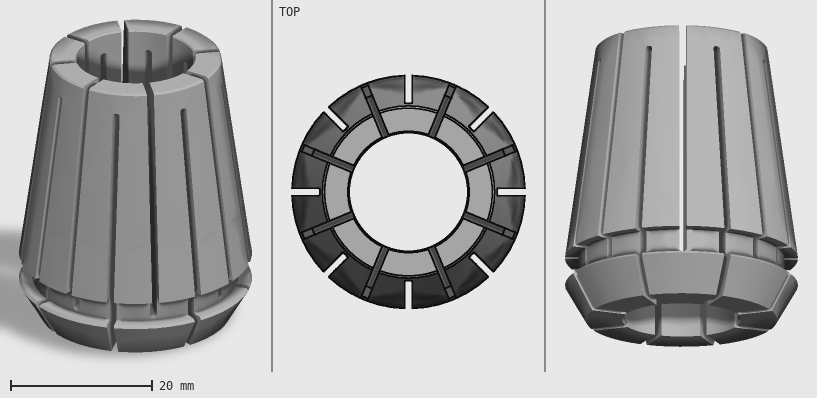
import cadquery as cq
import math

total_height = 40.0
max_diameter = 33.0
bore_radius = 8.4
bore_chamfer = 0.2

taper_angle = 8.0
taper_base_z = 9.1
top_chamfer = 0.3

groove_radius = 14.6
nose_top_z = 5.5
nose_bevel = 0.35
nose_angle = 30.0

slots_per_end = 8
slot_width = 1.0
slot_corner_radius = 0.4
lower_slot_end_z = 37.0
upper_slot_end_z = 5.9

max_radius = max_diameter / 2
slot_pitch = 360.0 / slots_per_end
taper_slope = math.tan(math.radians(taper_angle))
top_radius = max_radius - (total_height - taper_base_z) * taper_slope
chamfer_base_radius = top_radius + top_chamfer * taper_slope
nose_rim_z = nose_top_z - nose_bevel
nose_bottom_radius = max_radius - nose_rim_z * math.tan(math.radians(nose_angle))


def revolved_body():
    """Turned profile: nose cone, groove, long taper and bore."""
    profile = [
        (bore_radius, 0),
        (nose_bottom_radius, 0),
        (max_radius, nose_rim_z),
        (max_radius - nose_bevel, nose_top_z),
        (groove_radius, nose_top_z),
        (groove_radius, taper_base_z),
        (max_radius, taper_base_z),
        (chamfer_base_radius, total_height - top_chamfer),
        (top_radius - top_chamfer, total_height),
        (bore_radius + bore_chamfer, total_height),
        (bore_radius, total_height - bore_chamfer),
    ]
    return cq.Workplane("XZ").polyline(profile).close().revolve(360, (0, 0), (0, 1))


def slot_cutter(open_z, end_z):
    """Full-diameter blade from the open end to a slot end at end_z with two rounded corners."""
    closed_end = "<Z" if end_z < open_z else ">Z"
    return (
        cq.Workplane("XY")
        .box(slot_width, max_diameter, abs(open_z - end_z))
        .translate((0, 0, (open_z + end_z) / 2))
        .faces(closed_end)
        .edges("|Y")
        .fillet(slot_corner_radius)
    )


def cut_slots(body, cutter, start_angle):
    """Cut a ring of slots; each blade makes two opposite slots."""
    for index in range(slots_per_end // 2):
        angle = start_angle + index * slot_pitch
        body = body.cut(cutter.rotate((0, 0, 0), (0, 0, 1), angle))
    return body


result = revolved_body()
result = cut_slots(result, slot_cutter(0, lower_slot_end_z), 0)
result = cut_slots(result, slot_cutter(total_height, upper_slot_end_z), slot_pitch / 2)